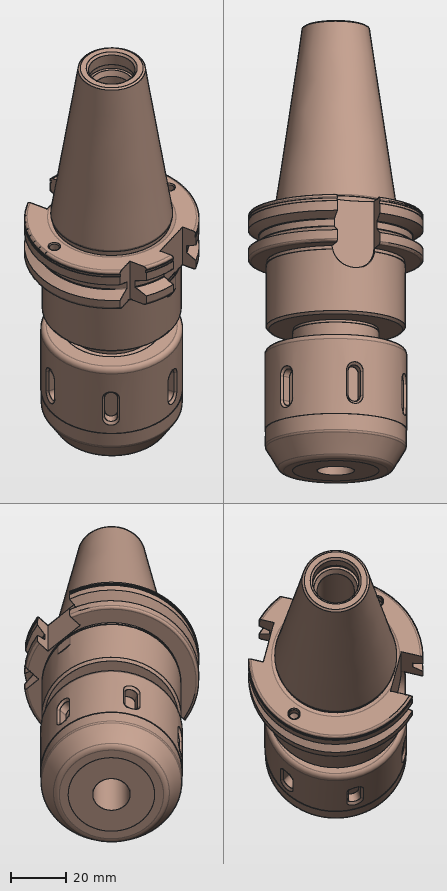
import cadquery as cq
import math

TOTAL_LENGTH = 165.4
TAPER_LENGTH = 68.0
TAPER_RATE = 7 / 24
GAUGE_RADIUS = 22.2
GAUGE_Z = TOTAL_LENGTH - TAPER_LENGTH
TAPER_TIP_RADIUS = GAUGE_RADIUS - TAPER_LENGTH * TAPER_RATE / 2
TIP_CHAMFER_WIDTH = 0.8
TIP_CHAMFER_HEIGHT = 0.5

RELIEF_RADIUS = 21.7
RELIEF_OUTER_RADIUS = 23.3
RELIEF_DEPTH = 0.5
GAUGE_LAND = 0.5

FLANGE_RADIUS = 31.8
FLANGE_TOP_Z = 95.8
FLANGE_BOTTOM_Z = 78.0
FLANGE_ROUNDING = 1.0

BAND_TOP_Z = 94.3
BAND_BOTTOM_Z = 93.3
BAND_DEPTH = 0.25

GROOVE_Z = 86.0
GROOVE_FLOOR_RADIUS = 28.0
GROOVE_HALF_WIDTH = 3.6
GROOVE_FLANK_ANGLE = 30
GROOVE_CORNER_FILLET = 0.3
GROOVE_FLOOR_HALF_WIDTH = (
    GROOVE_HALF_WIDTH
    - (FLANGE_RADIUS - GROOVE_FLOOR_RADIUS) * math.tan(math.radians(GROOVE_FLANK_ANGLE))
)

BODY_RADIUS = 25.3
BODY_BOTTOM_Z = 52.8
BODY_CHAMFER = 1.0
NOSE_RADIUS = 15.7

ROOT_RELIEF_DEPTH = 0.25
BODY_RELIEF_LENGTH = 1.3
NOSE_RELIEF_LENGTH = 1.0

BORE_RADIUS = 6.8
PILOT_RADIUS = 8.5
PILOT_DEPTH = 5.3
PILOT_CHAMFER = 0.8
UNDERCUT_RADIUS = 9.0
UNDERCUT_LENGTH = 2.2
BORE_CONE_RADIUS = 8.0
BORE_CONE_LENGTH = 2.0

DRIVE_SLOT_WIDTH = 16.0
DRIVE_SLOT_LEFT_FLOOR = 22.5
DRIVE_SLOT_RIGHT_FLOOR = 25.1
NOTCH_EDGE = 18.7
SCREW_HOLE_RADIUS = 1.8
SCREW_HOLE_DEPTH = 3.3
SCREW_HOLE_CHAMFER = 0.41
SCREW_HOLE_TIP_LENGTH = 1.2
SCREW_HOLE_X = 9.3
SCREW_HOLE_Y = 25.3

NUT_RADIUS = 25.8
NUT_TOP_Z = 45.2
NUT_TOP_ROUNDING = 2.0
NUT_SKIRT_RADIUS = 25.6
NUT_SKIRT_TOP_Z = 15.2
NUT_CONE_Z = 8.8
NUT_FACE_RADIUS = 20.3
NUT_SHOULDER_ROUNDING = 1.7
NUT_FACE_ROUNDING = 2.5
NUT_RECESS_RADIUS = 18.4
NUT_RECESS_DEPTH = 0.8

SPANNER_SLOT_COUNT = 6
SPANNER_SLOT_Z = 27.0
SPANNER_SLOT_WIDTH = 4.6
SPANNER_SLOT_HEIGHT = 13.5
SPANNER_SLOT_DEPTH = 4.1
SPANNER_SLOT_CHAMFER = 1.0

CUT_MARGIN = 1.7


def revolve(points):
    """Solid of revolution about Z from an outline of (radius, z) points."""
    return cq.Workplane("XZ").polyline(points).close().revolve(360, (0, 0), (0, 1))


def ring_edges(body, radius, z):
    """Circular edge of the body with the given radius at height z."""
    size = 0.03
    return body.edges(cq.selectors.BoxSelector(
        (-radius - size, -radius - size, z - size),
        (radius + size, radius + size, z + size), boundingbox=True,
    )).edges(cq.selectors.RadiusNthSelector(-1))


def holder_blank():
    blank = revolve([
        (0, TOTAL_LENGTH),
        (TAPER_TIP_RADIUS - TIP_CHAMFER_WIDTH, TOTAL_LENGTH),
        (TAPER_TIP_RADIUS, TOTAL_LENGTH - TIP_CHAMFER_HEIGHT),
        (GAUGE_RADIUS, GAUGE_Z + GAUGE_LAND),
        (GAUGE_RADIUS, GAUGE_Z),
        (RELIEF_RADIUS, GAUGE_Z),
        (RELIEF_RADIUS, FLANGE_TOP_Z - RELIEF_DEPTH),
        (RELIEF_OUTER_RADIUS, FLANGE_TOP_Z),
        (FLANGE_RADIUS, FLANGE_TOP_Z),
        (FLANGE_RADIUS, BAND_TOP_Z),
        (FLANGE_RADIUS - BAND_DEPTH, BAND_TOP_Z),
        (FLANGE_RADIUS - BAND_DEPTH, BAND_BOTTOM_Z),
        (FLANGE_RADIUS, BAND_BOTTOM_Z),
        (FLANGE_RADIUS, GROOVE_Z + GROOVE_HALF_WIDTH),
        (GROOVE_FLOOR_RADIUS, GROOVE_Z + GROOVE_FLOOR_HALF_WIDTH),
        (GROOVE_FLOOR_RADIUS, GROOVE_Z - GROOVE_FLOOR_HALF_WIDTH),
        (FLANGE_RADIUS, GROOVE_Z - GROOVE_HALF_WIDTH),
        (FLANGE_RADIUS, FLANGE_BOTTOM_Z),
        (BODY_RADIUS - ROOT_RELIEF_DEPTH, FLANGE_BOTTOM_Z),
        (BODY_RADIUS - ROOT_RELIEF_DEPTH, FLANGE_BOTTOM_Z - BODY_RELIEF_LENGTH),
        (BODY_RADIUS, FLANGE_BOTTOM_Z - BODY_RELIEF_LENGTH),
        (BODY_RADIUS, BODY_BOTTOM_Z + BODY_CHAMFER),
        (BODY_RADIUS - BODY_CHAMFER, BODY_BOTTOM_Z),
        (NOSE_RADIUS - ROOT_RELIEF_DEPTH, BODY_BOTTOM_Z),
        (NOSE_RADIUS - ROOT_RELIEF_DEPTH, BODY_BOTTOM_Z - NOSE_RELIEF_LENGTH),
        (NOSE_RADIUS, BODY_BOTTOM_Z - NOSE_RELIEF_LENGTH),
        (NOSE_RADIUS, 0),
        (0, 0),
    ])
    for z in (FLANGE_TOP_Z, FLANGE_BOTTOM_Z):
        blank = ring_edges(blank, FLANGE_RADIUS, z).fillet(FLANGE_ROUNDING)
    for z in (GROOVE_Z + GROOVE_FLOOR_HALF_WIDTH, GROOVE_Z - GROOVE_FLOOR_HALF_WIDTH):
        blank = ring_edges(blank, GROOVE_FLOOR_RADIUS, z).fillet(GROOVE_CORNER_FILLET)
    return blank


def stepped_bore():
    pilot_end = TOTAL_LENGTH - PILOT_DEPTH
    undercut_end = pilot_end - UNDERCUT_LENGTH
    return revolve([
        (0, TOTAL_LENGTH),
        (PILOT_RADIUS + PILOT_CHAMFER, TOTAL_LENGTH),
        (PILOT_RADIUS, TOTAL_LENGTH - PILOT_CHAMFER),
        (PILOT_RADIUS, pilot_end),
        (UNDERCUT_RADIUS, pilot_end),
        (UNDERCUT_RADIUS, undercut_end),
        (BORE_CONE_RADIUS, undercut_end),
        (BORE_RADIUS, undercut_end - BORE_CONE_LENGTH),
        (BORE_RADIUS, 0),
        (0, 0),
    ])


def drive_slot(floor, side):
    """Round-ended slot on the +X (side = 1) or -X (side = -1) flank, open at the top."""
    depth = FLANGE_RADIUS + CUT_MARGIN - floor
    height = FLANGE_TOP_Z + CUT_MARGIN - FLANGE_BOTTOM_Z
    channel = cq.Workplane("XY").box(
        depth, DRIVE_SLOT_WIDTH, height, centered=(False, True, False)
    )
    round_end = cq.Workplane("YZ").circle(DRIVE_SLOT_WIDTH / 2).extrude(depth)
    slot = channel.union(round_end).translate((floor, 0, FLANGE_BOTTOM_Z))
    return slot if side > 0 else slot.rotate((0, 0, 0), (0, 0, 1), 180)


def corner_notch():
    height = FLANGE_TOP_Z - FLANGE_BOTTOM_Z
    return (
        cq.Workplane("XY")
        .box(FLANGE_RADIUS, FLANGE_RADIUS, height, centered=False)
        .translate((NOTCH_EDGE, -NOTCH_EDGE - FLANGE_RADIUS, FLANGE_BOTTOM_Z))
    )


def screw_hole(x, y):
    """Blind hole in the flange face with a chamfered mouth and a conical bottom."""
    return revolve([
        (0, FLANGE_TOP_Z),
        (SCREW_HOLE_RADIUS + SCREW_HOLE_CHAMFER, FLANGE_TOP_Z),
        (SCREW_HOLE_RADIUS, FLANGE_TOP_Z - SCREW_HOLE_CHAMFER),
        (SCREW_HOLE_RADIUS, FLANGE_TOP_Z - SCREW_HOLE_DEPTH),
        (0, FLANGE_TOP_Z - SCREW_HOLE_DEPTH - SCREW_HOLE_TIP_LENGTH),
    ]).translate((x, y, 0))


def make_holder():
    return (
        holder_blank()
        .cut(stepped_bore())
        .cut(drive_slot(DRIVE_SLOT_LEFT_FLOOR, -1))
        .cut(drive_slot(DRIVE_SLOT_RIGHT_FLOOR, 1))
        .cut(corner_notch())
        .cut(screw_hole(SCREW_HOLE_X, SCREW_HOLE_Y))
        .cut(screw_hole(-SCREW_HOLE_X, -SCREW_HOLE_Y))
    )


def nut_blank():
    recess_floor = NUT_TOP_Z - NUT_RECESS_DEPTH
    blank = revolve([
        (NOSE_RADIUS, 0),
        (NUT_FACE_RADIUS, 0),
        (NUT_SKIRT_RADIUS, NUT_CONE_Z),
        (NUT_SKIRT_RADIUS, NUT_SKIRT_TOP_Z),
        (NUT_RADIUS, NUT_SKIRT_TOP_Z),
        (NUT_RADIUS, NUT_TOP_Z),
        (NUT_RECESS_RADIUS, NUT_TOP_Z),
        (NUT_RECESS_RADIUS, recess_floor),
        (NOSE_RADIUS, recess_floor),
    ])
    blank = ring_edges(blank, NUT_RADIUS, NUT_TOP_Z).fillet(NUT_TOP_ROUNDING)
    blank = ring_edges(blank, NUT_SKIRT_RADIUS, NUT_CONE_Z).fillet(NUT_SHOULDER_ROUNDING)
    return ring_edges(blank, NUT_FACE_RADIUS, 0).fillet(NUT_FACE_ROUNDING)


def spanner_slot(angle):
    """Upright slot with a chamfered mouth, sunk radially into the nut at the given angle."""
    mouth_growth = 2 * SPANNER_SLOT_CHAMFER
    pocket = (
        cq.Workplane("YZ", origin=(NUT_RADIUS - SPANNER_SLOT_DEPTH, 0, SPANNER_SLOT_Z))
        .slot2D(SPANNER_SLOT_HEIGHT, SPANNER_SLOT_WIDTH, 90)
        .extrude(SPANNER_SLOT_DEPTH)
    )
    mouth = (
        cq.Workplane("YZ", origin=(NUT_RADIUS, 0, SPANNER_SLOT_Z))
        .slot2D(SPANNER_SLOT_HEIGHT + mouth_growth, SPANNER_SLOT_WIDTH + mouth_growth, 90)
        .extrude(-SPANNER_SLOT_CHAMFER, taper=45)
    )
    return pocket.union(mouth).rotate((0, 0, 0), (0, 0, 1), angle)


def make_nut():
    nut = nut_blank()
    for i in range(SPANNER_SLOT_COUNT):
        nut = nut.cut(spanner_slot(i * 360 / SPANNER_SLOT_COUNT))
    return nut


holder = make_holder()
nut = make_nut()

result = cq.Compound.makeCompound([holder.val(), nut.val()])